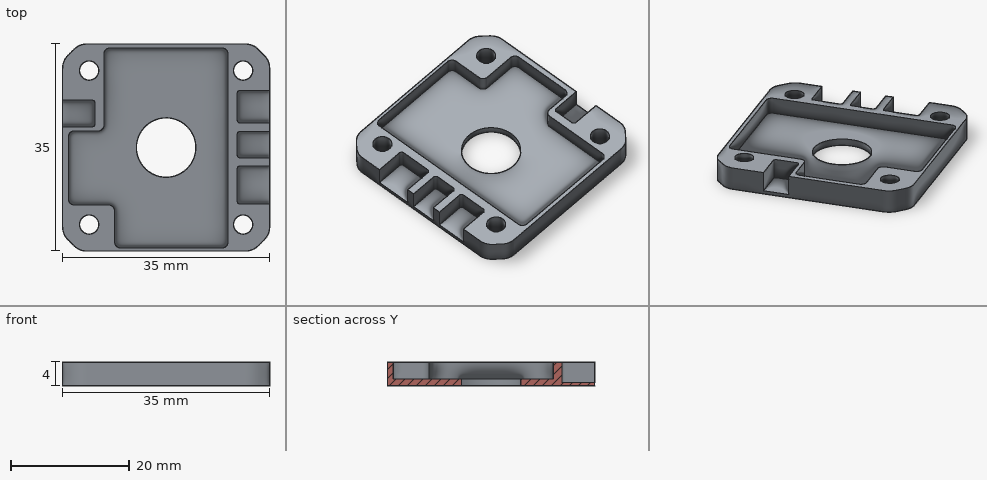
import cadquery as cq

plate_side = 35.0
plate_thickness = 4.0
corner_chamfer = 2.85
corner_radius = 3.0

bore_diameter = 10.0
screw_hole_diameter = 3.2
screw_hole_spacing = 26.0

pocket_floor = 1.2
pocket_corner_radius = 1.0
pocket_right = 10.45
pocket_back = 16.8
pocket_front = -16.95
pocket_back_left = -10.5
pocket_front_left = -8.7
bay_left = -16.5
bay_back = 2.8
bay_front = -9.7

notch_floor = 0.6
notch_length = 5.5
notch_corner_radius = 0.5
left_notch_span = (3.5, 8.0)
right_notch_spans = [(4.15, 9.65), (-1.75, 2.75), (-9.55, -3.1)]

half_side = plate_side / 2


def make_plate():
    """Square plate whose chamfered corners are blended into the sides."""
    plate = cq.Workplane("XY").rect(plate_side, plate_side).extrude(plate_thickness)
    plate = plate.edges("|Z").chamfer(corner_chamfer)
    return plate.edges("|Z").fillet(corner_radius)


def make_pocket():
    """Cutter for the stepped pocket."""
    outline = [
        (pocket_back_left, pocket_back),
        (pocket_right, pocket_back),
        (pocket_right, pocket_front),
        (pocket_front_left, pocket_front),
        (pocket_front_left, bay_front),
        (bay_left, bay_front),
        (bay_left, bay_back),
        (pocket_back_left, bay_back),
    ]
    pocket = cq.Workplane("XY", origin=(0, 0, pocket_floor)).polyline(outline).close()
    pocket = pocket.extrude(plate_thickness - pocket_floor)
    return pocket.edges("|Z").fillet(pocket_corner_radius)


def make_notch(side, span):
    """Cutter for a notch in the -X (side = -1) or +X (side = 1) edge, covering a span of Y."""
    notch = cq.Workplane("XY").box(
        notch_length,
        span[1] - span[0],
        plate_thickness - notch_floor,
        centered=(True, True, False),
    )
    inner_edges = "|Z and <X" if side > 0 else "|Z and >X"
    notch = notch.edges(inner_edges).fillet(notch_corner_radius)
    centre_x = side * (half_side - notch_length / 2)
    centre_y = (span[0] + span[1]) / 2
    return notch.translate((centre_x, centre_y, notch_floor))


def drill_holes(body):
    """Central bore and the four corner screw holes, all through."""
    body = body.faces("<Z").workplane(origin=(0, 0, 0)).hole(bore_diameter)
    screw_holes = body.faces("<Z").workplane(origin=(0, 0, 0))
    screw_holes = screw_holes.rect(screw_hole_spacing, screw_hole_spacing, forConstruction=True)
    return screw_holes.vertices().hole(screw_hole_diameter)


result = make_plate().cut(make_pocket())
result = result.cut(make_notch(-1, left_notch_span))
for right_span in right_notch_spans:
    result = result.cut(make_notch(1, right_span))
result = drill_holes(result)